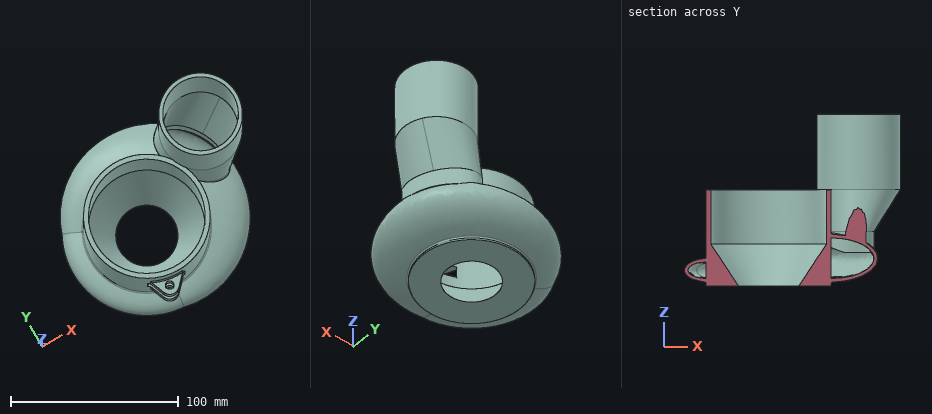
import cadquery as cq
import math

cup_diameter = 75.5
cup_bore_diameter = 69.5
cup_height = 57.5
funnel_height = 25.0
funnel_outlet_diameter = 36.8
cup_radius = cup_diameter / 2
cup_bore_radius = cup_bore_diameter / 2

outlet_angle = 30.0
pipe_diameter = 50.0
pipe_bore_diameter = 45.0
pipe_offset = 62.0
pipe_length = 45.0
transition_height = 25.0
neck_radial_half = 15.0
pipe_radius = pipe_diameter / 2
pipe_wall = (pipe_diameter - pipe_bore_diameter) / 2
neck_tangent_half = pipe_radius
neck_offset = pipe_offset - pipe_radius + neck_radial_half
neck_top_z = cup_height - transition_height
neck_bottom_z = 20.0

growth_span = 123.0
growth_exponent = 1.5
growth_easing = 1.1
section_steps = 12
scroll_floor_z = 2.2
scroll_wall = pipe_wall
scroll_min_radius = 50.6
scroll_max_radius = neck_offset + neck_radial_half
scroll_min_top_z = 16.7
scroll_max_top_z = neck_top_z
scroll_core_radius = (cup_radius + cup_bore_radius) / 2
junction_fillet = 0.9

hinge_angle = 260.0
hinge_mid_z = 37.4
hinge_length = 20.0
hinge_gap = 8.0
pin_offset = 42.0
pin_hole_diameter = 5.05
lug_tip_radius = 5.7
lug_half_angle = 32.0
lug_root_radius = (cup_radius + cup_bore_radius) / 2
foot_flare = 0.8
slot_inner_half_angle = 15.2
slot_outer_half_angle = 18.4

ORIGIN = (0, 0, 0)
Z_AXIS = (0, 0, 1)
TOLERANCE = 0.05


def polar(radius, angle):
    """Point at a radius and an angle in degrees about Z."""
    return (radius * math.cos(math.radians(angle)), radius * math.sin(math.radians(angle)))


def half_ellipse(angle, core_radius, outer_radius, floor_z, top_z):
    """Closed half-ellipse section in the plane through Z at the given angle."""
    out_x, out_y = polar(1, angle)
    radial_plane = cq.Plane(origin=ORIGIN, xDir=(out_x, out_y, 0), normal=(out_y, -out_x, 0))
    half_width = outer_radius - core_radius
    half_height = (top_z - floor_z) / 2
    return (
        cq.Workplane(radial_plane)
        .moveTo(core_radius, floor_z)
        .ellipseArc(half_width, half_height, 270, 90, startAtCurrent=True)
        .close()
        .val()
    )


def scroll_section(from_outlet, core_radius, inset):
    """Scroll section at an angle from the outlet direction, shrunk by the inset."""
    growth = (1 - (abs(from_outlet) / growth_span) ** growth_exponent) ** growth_easing
    outer_radius = scroll_min_radius + growth * (scroll_max_radius - scroll_min_radius)
    top_z = scroll_min_top_z + growth * (scroll_max_top_z - scroll_min_top_z)
    return half_ellipse(
        outlet_angle + from_outlet,
        core_radius,
        outer_radius - inset,
        scroll_floor_z + inset,
        top_z - inset,
    )


def scroll(core_radius, inset):
    """Full turn of the scroll: a loft where it grows, a revolved stretch opposite the outlet."""
    sections = [
        scroll_section(growth_span * (2 * step / section_steps - 1), core_radius, inset)
        for step in range(section_steps + 1)
    ]
    growing = cq.Workplane(cq.Solid.makeLoft(sections))
    constant_angle = 360 - 2 * growth_span
    constant = cq.Solid.revolve(
        sections[-1], [], constant_angle, cq.Vector(*ORIGIN), cq.Vector(*Z_AXIS)
    )
    return growing.union(cq.Workplane(constant))


def cup_and_scroll():
    """Cup with the scroll around it, rounded where they meet above and below."""
    cup = cq.Workplane("XY").circle(cup_radius).extrude(cup_height)
    cup = cup.rotate(ORIGIN, Z_AXIS, outlet_angle)
    body = cup.union(scroll(scroll_core_radius, 0))
    reach = cup_radius + 1
    junction = cq.selectors.BoxSelector(
        (-reach, -reach, scroll_floor_z - TOLERANCE),
        (reach, reach, scroll_max_top_z + 1),
        boundingbox=True,
    )
    return body.edges(junction).fillet(junction_fillet)


def cup_bore():
    """Cylindrical bore narrowing into a funnel that opens through the underside."""
    profile = [
        (0, 0),
        (funnel_outlet_diameter / 2, 0),
        (cup_bore_radius, funnel_height),
        (cup_bore_radius, cup_height),
        (0, cup_height),
    ]
    return cq.Workplane("XZ").polyline(profile).close().revolve(360, (0, 0, 0), (0, 1, 0))


def outlet(inset):
    """Oval neck, transition and pipe, all shrunk by the inset."""
    neck_half_size = (neck_radial_half - inset, neck_tangent_half - inset)
    inset_pipe_radius = pipe_radius - inset
    neck = (
        cq.Workplane("XY", origin=(neck_offset, 0, neck_bottom_z))
        .ellipse(*neck_half_size)
        .extrude(neck_top_z - neck_bottom_z)
    )
    transition = (
        cq.Workplane("XY", origin=(neck_offset, 0, neck_top_z))
        .ellipse(*neck_half_size)
        .workplane(offset=transition_height)
        .center(pipe_offset - neck_offset, 0)
        .ellipse(inset_pipe_radius, inset_pipe_radius)
        .loft(ruled=True)
    )
    pipe = (
        cq.Workplane("XY", origin=(pipe_offset, 0, cup_height))
        .circle(inset_pipe_radius)
        .extrude(pipe_length)
    )
    return neck.union(transition).union(pipe).rotate(ORIGIN, Z_AXIS, outlet_angle)


def lug_prism(half_height):
    """Triangle rounded about the pin, its root inside the cup wall, with the hinge along +X."""
    slope = math.radians(lug_half_angle)
    tangent_x = pin_offset + lug_tip_radius * math.sin(slope)
    tangent_y = lug_tip_radius * math.cos(slope)
    root_y = tangent_y + (tangent_x - lug_root_radius) * math.tan(slope)
    return (
        cq.Workplane("XY", origin=(0, 0, hinge_mid_z))
        .moveTo(lug_root_radius, -root_y)
        .lineTo(tangent_x, -tangent_y)
        .threePointArc((pin_offset + lug_tip_radius, 0), (tangent_x, tangent_y))
        .lineTo(lug_root_radius, root_y)
        .close()
        .extrude(half_height, both=True)
    )


def hinge_lugs():
    """Solid lug block whose foot flares above and below along the cup wall."""
    half_length = hinge_length / 2
    half_foot = half_length + foot_flare
    reach = pin_offset + 2 * lug_tip_radius
    upper_profile = [
        (reach, half_length),
        (cup_radius + foot_flare, half_length),
        (cup_radius, half_foot),
        (0, half_foot),
    ]
    lower_profile = [(radius, -height) for radius, height in reversed(upper_profile)]
    envelope = (
        cq.Workplane("XZ", origin=(0, 0, hinge_mid_z))
        .polyline(upper_profile + lower_profile)
        .close()
        .revolve(360, (0, 0, 0), (0, 1, 0))
    )
    return lug_prism(half_foot).intersect(envelope).rotate(ORIGIN, Z_AXIS, hinge_angle)


def hinge_gap_cut():
    """Gap between the lugs, continued through the cup wall with slanted ends, and the pin hole."""
    reach = pin_offset + 2 * lug_tip_radius
    inner_x, inner_y = polar(cup_bore_radius, slot_inner_half_angle)
    outer_x, outer_y = polar(cup_radius, slot_outer_half_angle)
    outline = [
        (inner_x, -inner_y),
        (outer_x, -outer_y),
        (reach, -outer_y),
        (reach, outer_y),
        (outer_x, outer_y),
        (inner_x, inner_y),
    ]
    gap = (
        cq.Workplane("XY", origin=(0, 0, hinge_mid_z - hinge_gap / 2))
        .polyline(outline)
        .close()
        .extrude(hinge_gap)
    )
    pin_hole = (
        cq.Workplane("XY", origin=(pin_offset, 0, hinge_mid_z - hinge_length / 2))
        .circle(pin_hole_diameter / 2)
        .extrude(hinge_length)
    )
    return gap.union(pin_hole).rotate(ORIGIN, Z_AXIS, hinge_angle)


outer = cup_and_scroll().union(hinge_lugs()).union(outlet(0))

channel = scroll(cup_radius, scroll_wall)
result = outer.cut(channel).cut(outlet(pipe_wall)).cut(cup_bore()).cut(hinge_gap_cut())